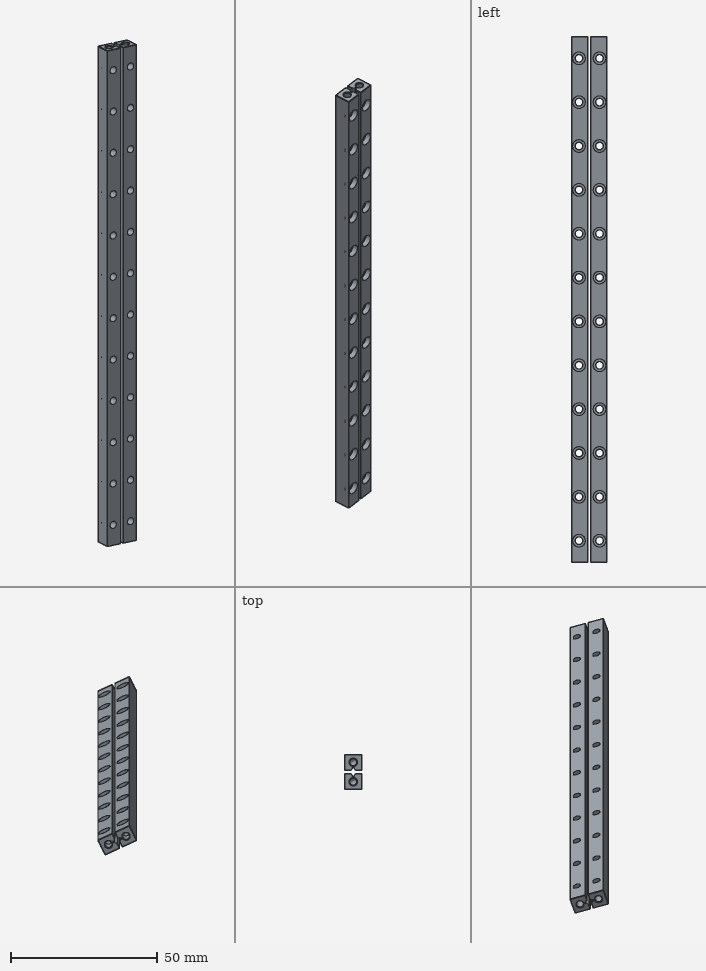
import cadquery as cq
import math

LENGTH = 180.0
THICKNESS = 6.0
PAIR_WIDTH = 12.0

RAIL_GAP = 0.9
EDGE_CHAMFER = 0.2
RAIL_WIDTH = (PAIR_WIDTH - RAIL_GAP) / 2

GROOVE_WIDTH = 2.0
RELIEF_WIDTH = 0.5
RELIEF_DEPTH = 0.4

HOLE_COUNT = 12
HOLE_PITCH = LENGTH / HOLE_COUNT
HOLE_INSET = 2.5
HOLE_OFFSET = PAIR_WIDTH / 2 - HOLE_INSET
HOLE_DIAMETER = 2.5
COUNTERBORE_DIAMETER = 4.3
COUNTERBORE_DEPTH = 2.0

END_HOLE_INSET = 2.7
END_HOLE_OFFSET = PAIR_WIDTH / 2 - END_HOLE_INSET
END_HOLE_DIAMETER = 2.3
END_HOLE_DEPTH = 4.5
COUNTERSINK_DIAMETER = 2.9
DRILL_POINT_ANGLE = 118.0
DRILL_POINT_DEPTH = END_HOLE_DIAMETER / 2 / math.tan(math.radians(DRILL_POINT_ANGLE / 2))


def rail_blank():
    """Bar on the +Y side of the gap with all its edges chamfered."""
    return (
        cq.Workplane("XY")
        .box(THICKNESS, RAIL_WIDTH, LENGTH)
        .translate((0, (RAIL_GAP + RAIL_WIDTH) / 2, 0))
        .edges()
        .chamfer(EDGE_CHAMFER)
    )


def roller_groove():
    """V groove in the face beside the gap, running the full length."""
    face = RAIL_GAP / 2
    half_groove = GROOVE_WIDTH / 2
    half_relief = RELIEF_WIDTH / 2
    slot_mouth = face + half_groove - half_relief
    slot_bottom = slot_mouth + RELIEF_DEPTH
    return (
        cq.Workplane("XY", origin=(0, 0, -LENGTH / 2))
        .polyline(
            [
                (-half_groove, face),
                (-half_relief, slot_mouth),
                (-half_relief, slot_bottom),
                (half_relief, slot_bottom),
                (half_relief, slot_mouth),
                (half_groove, face),
            ]
        )
        .close()
        .extrude(LENGTH)
    )


def mounting_hole(z):
    """Through hole along X, counterbored from the -X face."""
    start = cq.Vector(-THICKNESS / 2, HOLE_OFFSET, z)
    along_x = cq.Vector(1, 0, 0)
    bore = cq.Solid.makeCylinder(HOLE_DIAMETER / 2, THICKNESS, start, along_x)
    counterbore = cq.Solid.makeCylinder(COUNTERBORE_DIAMETER / 2, COUNTERBORE_DEPTH, start, along_x)
    return bore.fuse(counterbore)


def end_hole(end):
    """Countersunk blind drilled hole; end is +1 for the top and -1 for the bottom."""
    radius = END_HOLE_DIAMETER / 2
    inward = cq.Vector(0, 0, -end)
    mouth = cq.Vector(0, END_HOLE_OFFSET, end * LENGTH / 2)
    bore = cq.Solid.makeCylinder(radius, END_HOLE_DEPTH, mouth, inward)
    point = cq.Solid.makeCone(radius, 0, DRILL_POINT_DEPTH, mouth + inward * END_HOLE_DEPTH, inward)
    countersink_radius = COUNTERSINK_DIAMETER / 2
    countersink = cq.Solid.makeCone(countersink_radius, radius, countersink_radius - radius, mouth, inward)
    return bore.fuse(point, countersink)


def rail():
    """Complete rail on the +Y side of the gap."""
    body = rail_blank().cut(roller_groove())
    for index in range(HOLE_COUNT):
        z = (index + 0.5) * HOLE_PITCH - LENGTH / 2
        body = body.cut(cq.Workplane(mounting_hole(z)))
    for end in (1, -1):
        body = body.cut(cq.Workplane(end_hole(end)))
    return body


back_rail = rail()
front_rail = back_rail.mirror("XZ")

result = cq.Compound.makeCompound([back_rail.val(), front_rail.val()])